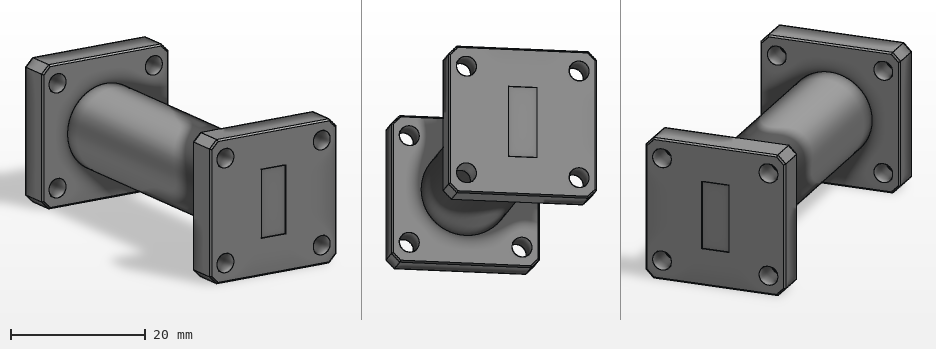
import cadquery as cq

length = 50.8
flange_side = 22.35
flange_thickness = 4.9
corner_chamfer = 1.25
edge_chamfer = 0.25

tube_diameter = 13.45

hole_diameter = 3.0
hole_spacing_y = 17.0
hole_spacing_z = 16.25

window_width = 4.3
window_height = 10.65
window_depth = 0.2


def make_flange():
    """Chamfered square flange lying from X = 0 to its thickness, with its outer face at X = 0."""
    flange = (
        cq.Workplane("YZ")
        .rect(flange_side, flange_side)
        .extrude(flange_thickness)
        .edges("|X")
        .chamfer(corner_chamfer)
        .faces("<X or >X")
        .edges()
        .chamfer(edge_chamfer)
    )
    holes = (
        cq.Workplane("YZ")
        .rect(hole_spacing_y, hole_spacing_z, forConstruction=True)
        .vertices()
        .circle(hole_diameter / 2)
        .extrude(flange_thickness)
    )
    window = cq.Workplane("YZ").rect(window_width, window_height).extrude(window_depth)
    return flange.cut(holes).cut(window)


left_flange = make_flange().translate((-length / 2, 0, 0))
right_flange = left_flange.mirror("YZ")

tube_length = length - 2 * flange_thickness
tube = cq.Workplane("YZ").circle(tube_diameter / 2).extrude(tube_length / 2, both=True)

result = tube.union(left_flange).union(right_flange)